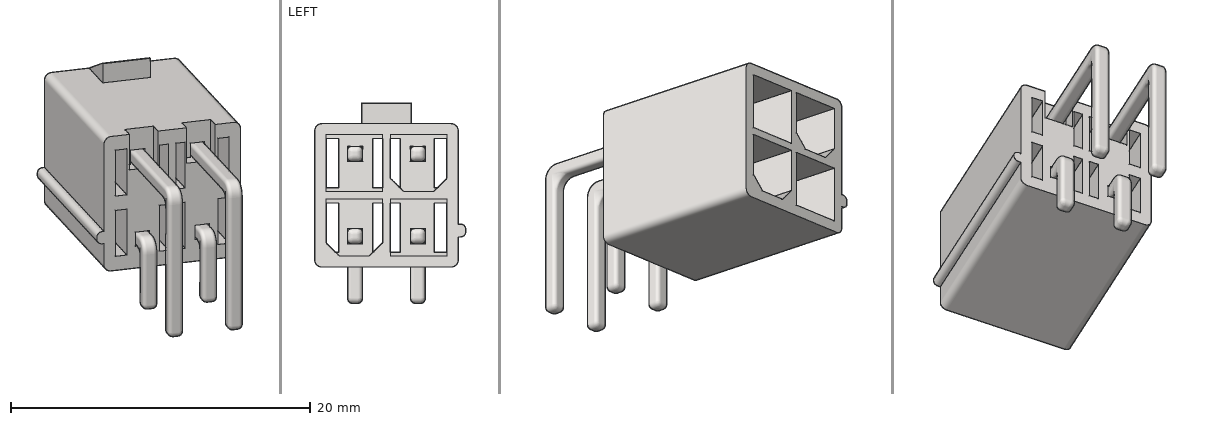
import cadquery as cq
import math


housing_length = 12.8
housing_size = 9.6
housing_corner_radius = 0.5

cavity_size = 3.8
cavity_pitch = 4.3
cavity_depth = 10.05
cavity_chamfer = 0.9
wall_overcut = 0.2

slot_height = 3.27
slot_outer_y = 4.0
slot_inner_y = (cavity_pitch - cavity_size) / 2
web_width = 2.3
web_center_y = 2.05

latch_length = 2.97
latch_width = 3.33
latch_height = 1.37
latch_crest = 0.12

rib_height = 0.86
rib_reach = 0.5
rib_center_z = 2.45
rib_radius = 0.36

pin_size = 1.0
pin_pitch_y = 4.2
pin_tip_x = 4.02
pin_edge_radius = 0.26
pin_nose_radius = 0.4
pin_foot_radius = 0.36
outer_bend_radius = 1.0
inner_bend_radius = 1.0
leg_drop = 2.43
upper_pin_z = 7.57
upper_leg_x = 20.1
row_step = 5.5

notch_length = 0.98
notch_width = 2.0
notch_center_y = 2.0
notch_floor_z = upper_pin_z - pin_size / 2

SIDES = (-1, 1)
cavity_places = [
    (side_y * cavity_pitch / 2, housing_size / 2 + side_z * cavity_pitch / 2, side_y * side_z < 0)
    for side_y in SIDES
    for side_z in SIDES
]
pin_rows = [
    (upper_pin_z, upper_leg_x),
    (upper_pin_z - row_step, upper_leg_x - row_step),
]
pin_columns = [side * pin_pitch_y / 2 for side in SIDES]


def block(x_range, y_range, z_range):
    """Axis-aligned box between the given limits."""
    low, high = zip(x_range, y_range, z_range)
    size = [top - bottom for bottom, top in zip(low, high)]
    return cq.Workplane("XY").box(*size, centered=False).translate(low)


def make_cavity(center_y, center_z, chamfered):
    """Plug cavity open at the mating face, with its two lower edges chamfered on request."""
    half = cavity_size / 2
    cavity = block(
        (-wall_overcut, cavity_depth),
        (center_y - half, center_y + half),
        (center_z - half, center_z + half),
    )
    if chamfered:
        cavity = cavity.faces("<Z").edges("|X").chamfer(cavity_chamfer)
    return cavity


def make_wall_slots(side_y, center_z):
    """The two slots through the back wall of one cavity."""
    web_inner_y = web_center_y - web_width / 2
    web_outer_y = web_center_y + web_width / 2
    x_range = (cavity_depth - wall_overcut, housing_length + wall_overcut)
    z_range = (center_z - slot_height / 2, center_z + slot_height / 2)
    slots = cq.Workplane("XY")
    for near_y, far_y in ((slot_inner_y, web_inner_y), (web_outer_y, slot_outer_y)):
        slots = slots.add(block(x_range, sorted((side_y * near_y, side_y * far_y)), z_range))
    return slots.combine()


def make_latch():
    """Ramp that rises from the mating face to a narrow crest."""
    return (
        cq.Workplane("XZ", origin=(0, latch_width / 2, housing_size))
        .moveTo(0, 0)
        .lineTo(latch_length - latch_crest, latch_height)
        .lineTo(latch_length, latch_height)
        .lineTo(latch_length, 0)
        .close()
        .extrude(latch_width)
    )


def make_rib():
    """Full-length rib with rounded outer edges."""
    side_y = -housing_size / 2
    return block(
        (0, housing_length),
        (side_y - rib_reach, side_y),
        (rib_center_z - rib_height / 2, rib_center_z + rib_height / 2),
    ).faces("<Y").edges("|X").fillet(rib_radius)


def make_notch(side_y):
    """Notch in the back edge above one upper pin."""
    center_y = side_y * notch_center_y
    return block(
        (housing_length - notch_length, housing_length + wall_overcut),
        (center_y - notch_width / 2, center_y + notch_width / 2),
        (notch_floor_z, housing_size + wall_overcut),
    )


def make_pin_hole(center_y, center_z):
    """Square hole through the back wall for one pin."""
    half = pin_size / 2
    return block(
        (cavity_depth - wall_overcut, housing_length + wall_overcut),
        (center_y - half, center_y + half),
        (center_z - half, center_z + half),
    )


def make_housing():
    """Housing with its latch, rib, cavities, wall slots, notches and pin holes."""
    half = housing_size / 2
    housing = block((0, housing_length), (-half, half), (0, housing_size))
    housing = housing.edges("|X").fillet(housing_corner_radius)
    housing = housing.union(make_latch()).union(make_rib())
    for center_y, center_z, chamfered in cavity_places:
        housing = housing.cut(make_cavity(center_y, center_z, chamfered))
        housing = housing.cut(make_wall_slots(math.copysign(1, center_y), center_z))
    for side_y in SIDES:
        housing = housing.cut(make_notch(side_y))
    for center_z, _ in pin_rows:
        for center_y in pin_columns:
            housing = housing.cut(make_pin_hole(center_y, center_z))
    return housing


def make_pin(center_y, center_z, leg_x):
    """Square wire that runs along X, bends down behind the housing and ends in a leg."""
    half = pin_size / 2
    y_range = (center_y - half, center_y + half)
    top_z = center_z + half
    bottom_z = center_z - half
    leg_front_x = leg_x - pin_size
    pin = block((pin_tip_x, leg_x), y_range, (bottom_z, top_z))
    pin = pin.union(block((leg_front_x, leg_x), y_range, (-leg_drop, top_z)))
    outer_bend = cq.selectors.NearestToPointSelector((leg_x, center_y, top_z))
    pin = pin.edges(outer_bend).fillet(outer_bend_radius)
    pin = pin.faces("<X").edges().fillet(pin_nose_radius)
    pin = pin.faces("<Y or >Y").edges("not <Z").fillet(pin_edge_radius)
    inner_bend = cq.selectors.NearestToPointSelector((leg_front_x, center_y, bottom_z))
    pin = pin.edges(inner_bend).fillet(inner_bend_radius)
    pin = pin.faces("<Z").edges().fillet(pin_foot_radius)
    return pin


housing = make_housing()
pins = [
    make_pin(center_y, center_z, leg_x)
    for center_z, leg_x in pin_rows
    for center_y in pin_columns
]

result = cq.Compound.makeCompound([housing.val(), *[pin.val() for pin in pins]])